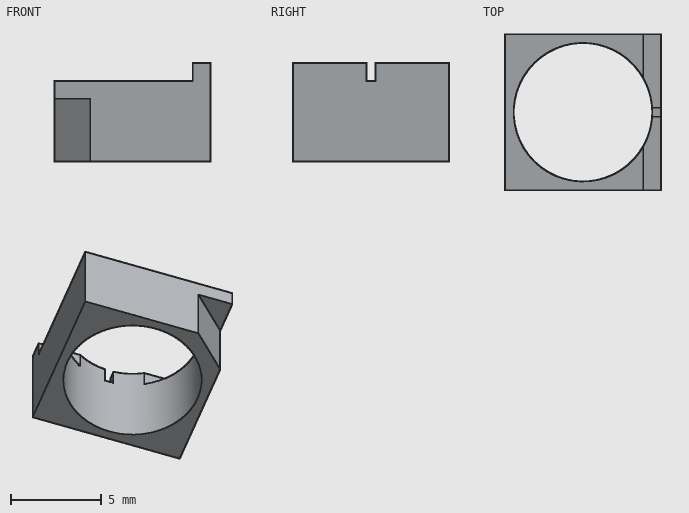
import cadquery as cq

side = 8.67
total_height = 5.48
bore_diameter = 7.67
lip_size = 1.0
slot_width = 0.49
corner_cut = 2.0
corner_roof = 1.0

body_height = total_height - lip_size
cut_height = body_height - corner_roof
half_side = side / 2


def square_body():
    return cq.Workplane("XY").rect(side, side).extrude(body_height)


def edge_lip():
    """Lip along the +X edge, split by a central slot."""
    lip_center_x = half_side - lip_size / 2
    top_plane = cq.Workplane("XY").workplane(offset=body_height).center(lip_center_x, 0)
    lip = top_plane.rect(lip_size, side).extrude(lip_size)
    slot = top_plane.rect(lip_size, slot_width).extrude(lip_size)
    return lip.cut(slot)


def corner_wedge():
    """Triangular cut under the (-X, -Y) corner, open at the bottom."""
    return (
        cq.Workplane("XY")
        .moveTo(-half_side, -half_side)
        .line(corner_cut, 0)
        .line(-corner_cut, corner_cut)
        .close()
        .extrude(cut_height)
    )


def through_bore():
    return cq.Workplane("XY").circle(bore_diameter / 2).extrude(total_height)


result = square_body().union(edge_lip()).cut(corner_wedge()).cut(through_bore())